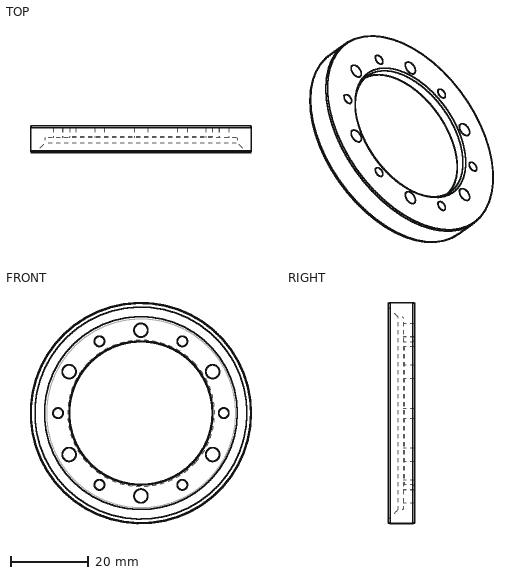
import cadquery as cq

outer_diameter = 57.3
width = 7.0
bore_diameter = 37.0

edge_chamfer_width = 0.2
edge_chamfer_length = 0.5
bore_front_chamfer = 0.2
bore_back_chamfer = 0.5

dish_mouth_diameter = 55.0
wall_diameter = 50.0
wall_length = 1.0
floor_depth = 4.0
floor_fillet = 0.5

bolt_circle_diameter = 43.0
large_hole_diameter = 3.5
small_hole_diameter = 2.6
holes_per_size = 6
hole_spacing = 360 / holes_per_size

front_y = -width / 2
back_y = width / 2
floor_y = front_y + floor_depth
fillet_start_y = floor_y - floor_fillet


def ring_body():
    """Revolve the (radius, y) half section around the Y axis."""
    outer_radius = outer_diameter / 2
    bore_radius = bore_diameter / 2
    wall_radius = wall_diameter / 2
    section = (
        cq.Workplane("XY")
        .moveTo(bore_radius + bore_front_chamfer, floor_y)
        .lineTo(wall_radius - floor_fillet, floor_y)
        .radiusArc((wall_radius, fillet_start_y), floor_fillet)
        .lineTo(wall_radius, fillet_start_y - wall_length)
        .lineTo(dish_mouth_diameter / 2, front_y)
        .lineTo(outer_radius - edge_chamfer_width, front_y)
        .lineTo(outer_radius, front_y + edge_chamfer_length)
        .lineTo(outer_radius, back_y - edge_chamfer_length)
        .lineTo(outer_radius - edge_chamfer_width, back_y)
        .lineTo(bore_radius + bore_back_chamfer, back_y)
        .lineTo(bore_radius, back_y - bore_back_chamfer)
        .lineTo(bore_radius, floor_y + bore_front_chamfer)
        .close()
    )
    return section.revolve(360, (0, 0, 0), (0, 1, 0))


def hole_circle(diameter, start_angle):
    """Cutters for evenly spaced through holes, parallel to Y."""
    return (
        cq.Workplane("XZ", origin=(0, back_y, 0))
        .polarArray(bolt_circle_diameter / 2, start_angle, 360, holes_per_size)
        .circle(diameter / 2)
        .extrude(width)
    )


large_holes = hole_circle(large_hole_diameter, hole_spacing / 2)
small_holes = hole_circle(small_hole_diameter, 0)

result = ring_body().cut(large_holes).cut(small_holes)